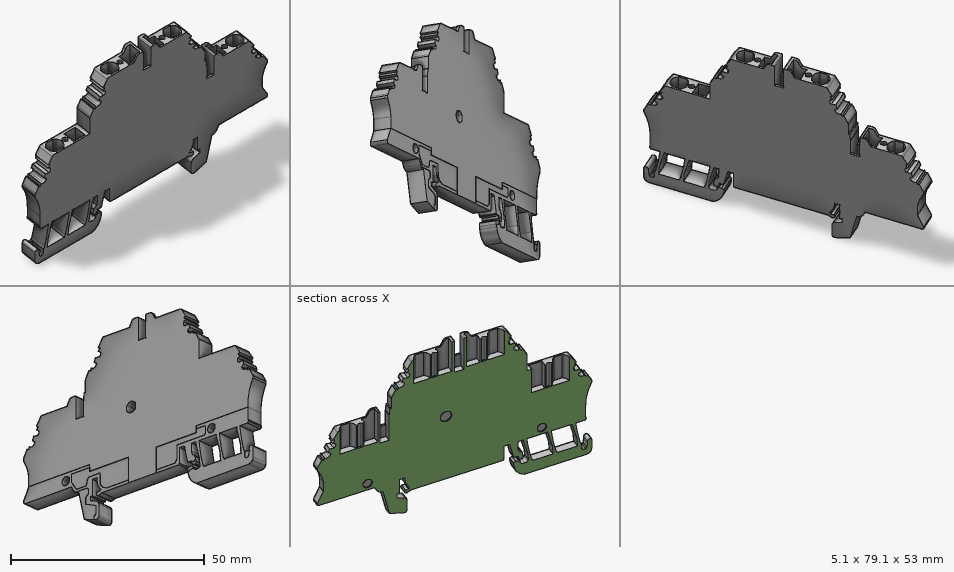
import cadquery as cq

THICKNESS = 5.1
LENGTH = 79.05
HEIGHT = 53.0

BASE_Z = 11.8
RAIL_FACE_Z = 7.0
BLOCK_RIGHT_Y = -14.2
BOSS_HEIGHT = 2.05
BOSS_WIDTH = 3.2
UPPER_TOP_Z = HEIGHT - BOSS_HEIGHT
LOWER_TOP_Z = 35.0
UPPER_LEFT_Y = 18.3
UPPER_RIGHT_Y = -20.9
WAIST_Y = 37.8
WAIST_Z = 19.4
SKIRT_Z = 16.2

EDGE_WIDTH = 6.4
EDGE_DROP = 10.4
SIDE_FLAT = 0.6
LOWER_SHOULDER_Y = LENGTH / 2 - EDGE_WIDTH

SLOT_WIDTH = 2.5
SLOT_DEPTH = 6.65
LEDGE_SLANT = 0.2
LEDGE_SLANT_RISE = 3.55
UPPER_SLOT_Y = -0.1
LOWER_SLOT_Y = 21.4
JUMPER_WIDTH = 3.55
JUMPER_OFFSET = 0.2
JUMPER_DEPTH = 3.95

PORT_INSET = 2.5
PORT_RADIUS = 2.4
PORT_WIDTH = 4.1
TEST_HOLE_INSET = 6.0
TEST_HOLE_RADIUS = 0.8
RELEASE_INSET = 9.1
RELEASE_SIZE = 3.8
RELEASE_OFFSET = 0.15
OPENING_DEPTH = 7.9

MIDDLE_HOLE_Y = 2.45
MIDDLE_HOLE_Z = 28.2
MIDDLE_HOLE_RADIUS = 1.6
BASE_HOLE_YS = (25.0, -25.15)
BASE_HOLE_Z = 14.0
BASE_HOLE_RADIUS = 1.3
SIDE_HOLE_DEPTH = 3.2

FOOT_TOP_Z = 3.95
NOTCH_OUTER_Y = -38.2
LIP_TOP_Z = 5.1
LIP_RADIUS = (LENGTH / 2 + NOTCH_OUTER_Y) / 2
GROOVE_WEB = 0.8
STRUT_PITCH = 7.0
STRUT_COUNT = 3

FRAME_DEPTH = 0.1
POCKET_DEPTH = 0.15
FRAME_STEP_Z = 14.3
FRAME_INNER_LEFT_Y = 3.4
FRAME_INNER_RIGHT_Y = -6.2
FRAME_STEP_LEFT_Y = 16.8
FRAME_STEP_RIGHT_Y = -20.0
POCKET_TOP_Z = 15.4
POCKET_LOWER_Z = 12.8
POCKET_FLOOR_Z = 7.9

STAGES = [
    (UPPER_LEFT_Y - EDGE_WIDTH, UPPER_TOP_Z, 1),
    (UPPER_RIGHT_Y + EDGE_WIDTH, UPPER_TOP_Z, -1),
    (LOWER_SHOULDER_Y, LOWER_TOP_Z, 1),
    (-LOWER_SHOULDER_Y, LOWER_TOP_Z, -1),
]
JUMPER_SLOTS = [(UPPER_SLOT_Y, UPPER_TOP_Z), (LOWER_SLOT_Y, LOWER_TOP_Z)]

MARGIN = 0.8

FACE_X = -THICKNESS / 2


def plate(sketch):
    """Full-thickness solid from a closed YZ outline."""
    return sketch.extrude(THICKNESS / 2, both=True)


def outline(start):
    return cq.Workplane("YZ").moveTo(*start)


def polygon_plate(points):
    return plate(cq.Workplane("YZ").polyline(points).close())


def face_recess(points, depth, start=0):
    """Cutter reaching inwards from a start distance behind the -X face."""
    return cq.Workplane("YZ", origin=(FACE_X + start, 0, 0)).polyline(points).close().extrude(depth)


def label_edge(shoulder_y, top_z, side):
    """Solid to remove outside a sloping edge with its two marker grooves; side is +1 or -1."""

    def at(out, down):
        return (shoulder_y + side * out, top_z - down)

    return plate(
        outline(at(0, 0))
        .threePointArc(at(0.3, 0.12), at(0.55, 0.4))
        .lineTo(*at(1.9, 2.5))
        .lineTo(*at(1.35, 2.85))
        .lineTo(*at(1.9, 3.55))
        .lineTo(*at(1.3, 3.95))
        .threePointArc(at(1.1, 4.7), at(1.65, 5.2))
        .lineTo(*at(2.85, 5.05))
        .lineTo(*at(3.3, 6.2))
        .lineTo(*at(2.5, 6.9))
        .threePointArc(at(2.85, 7.5), at(3.5, 7.8))
        .lineTo(*at(4.2, 7.8))
        .lineTo(*at(4.35, 7.5))
        .lineTo(*at(4.6, 8.3))
        .lineTo(*at(5.1, 8.1))
        .lineTo(*at(EDGE_WIDTH - 0.2, EDGE_DROP - 0.5))
        .lineTo(*at(EDGE_WIDTH, EDGE_DROP))
        .lineTo(*at(EDGE_WIDTH + MARGIN, EDGE_DROP))
        .lineTo(*at(EDGE_WIDTH + MARGIN, -MARGIN))
        .lineTo(*at(0, -MARGIN))
        .close()
    )


def boss(slot_y, top_z, side):
    """Raised stop with a vertical wall at the slot and a slope away from it."""

    def at(out, up):
        return (slot_y + side * out, top_z + up)

    return plate(
        outline(at(0, -MARGIN))
        .lineTo(*at(0, BOSS_HEIGHT - 0.3))
        .threePointArc(at(0.095, BOSS_HEIGHT - 0.095), at(0.3, BOSS_HEIGHT))
        .lineTo(*at(1.6, BOSS_HEIGHT))
        .threePointArc(at(2.05, BOSS_HEIGHT - 0.2), at(2.45, 1.3))
        .lineTo(*at(BOSS_WIDTH, 0))
        .lineTo(*at(BOSS_WIDTH, -MARGIN))
        .close()
    )


def make_housing():
    half = LENGTH / 2
    side_low_z = LOWER_TOP_Z - EDGE_DROP - SIDE_FLAT
    lower = plate(
        outline((half, LOWER_TOP_Z))
        .lineTo(half, side_low_z)
        .threePointArc((38.35, 21.6), (WAIST_Y, WAIST_Z))
        .lineTo(WAIST_Y, SKIRT_Z)
        .threePointArc((38.65, 14.4), (half, 12.7))
        .lineTo(half, BASE_Z + 0.55)
        .threePointArc((39.4, BASE_Z + 0.15), (39.0, BASE_Z))
        .lineTo(-WAIST_Y + 0.2, BASE_Z)
        .lineTo(-WAIST_Y - 0.15, BASE_Z + 0.5)
        .lineTo(-WAIST_Y, BASE_Z + 0.95)
        .lineTo(-WAIST_Y, SKIRT_Z)
        .threePointArc((-38.2, 20.3), (-half, side_low_z))
        .lineTo(-half, LOWER_TOP_Z)
        .close()
    )
    upper = polygon_plate([
        (UPPER_LEFT_Y, LOWER_TOP_Z - MARGIN),
        (UPPER_RIGHT_Y, LOWER_TOP_Z - MARGIN),
        (UPPER_RIGHT_Y, UPPER_TOP_Z),
        (UPPER_LEFT_Y, UPPER_TOP_Z),
    ])
    slot_far_y = LOWER_SLOT_Y - SLOT_WIDTH
    slot_floor_z = LOWER_TOP_Z + BOSS_HEIGHT - SLOT_DEPTH
    ledge = polygon_plate([
        (UPPER_LEFT_Y - MARGIN, slot_floor_z),
        (slot_far_y, slot_floor_z),
        (slot_far_y, slot_floor_z + LEDGE_SLANT_RISE),
        (slot_far_y - LEDGE_SLANT, LOWER_TOP_Z + BOSS_HEIGHT),
        (UPPER_LEFT_Y - MARGIN, LOWER_TOP_Z + BOSS_HEIGHT),
    ])
    body = lower.union(upper)
    for shoulder_y, top_z, side in STAGES:
        body = body.cut(label_edge(shoulder_y, top_z, side))
    body = body.union(boss(UPPER_SLOT_Y, UPPER_TOP_Z, 1))
    body = body.union(boss(UPPER_SLOT_Y - SLOT_WIDTH, UPPER_TOP_Z, -1))
    body = body.union(boss(LOWER_SLOT_Y, LOWER_TOP_Z, 1))
    for slot_y, top_z in JUMPER_SLOTS:
        body = body.cut(jumper_slot(slot_y, top_z))
    return body.union(ledge)


def jumper_slot(slot_y, top_z):
    """Slot open at both faces, with a narrower jumper pocket in its floor."""
    middle_y = slot_y - SLOT_WIDTH / 2
    boss_top_z = top_z + BOSS_HEIGHT
    slot = (
        cq.Workplane("XY", origin=(0, middle_y, boss_top_z))
        .rect(THICKNESS, SLOT_WIDTH)
        .extrude(-SLOT_DEPTH)
    )
    pocket = (
        cq.Workplane("XY", origin=(JUMPER_OFFSET, middle_y, boss_top_z))
        .rect(JUMPER_WIDTH, SLOT_WIDTH)
        .extrude(-SLOT_DEPTH - JUMPER_DEPTH)
    )
    return slot.union(pocket)


def make_rail_block():
    """Lower block resting on the rail, with the lug that grips the rail edge."""
    return plate(
        outline((14.3, BASE_Z))
        .threePointArc((13.9, 9.5), (13.0, 8.1))
        .lineTo(13.3, 7.75)
        .lineTo(14.15, 7.75)
        .threePointArc((14.3, 6.9), (13.7, 6.6))
        .lineTo(12.5, RAIL_FACE_Z)
        .lineTo(BLOCK_RIGHT_Y + 0.3, RAIL_FACE_Z)
        .lineTo(BLOCK_RIGHT_Y, RAIL_FACE_Z + 0.3)
        .lineTo(BLOCK_RIGHT_Y, BASE_Z + MARGIN)
        .lineTo(14.3, BASE_Z + MARGIN)
        .close()
    )


def make_fixed_hook():
    return plate(
        outline((23.1, BASE_Z + MARGIN))
        .lineTo(23.1, BASE_Z)
        .lineTo(22.2, 10.35)
        .threePointArc((21.6, 9.8), (20.6, 9.5))
        .lineTo(18.7, 1.4)
        .lineTo(15.3, 0.2)
        .lineTo(14.5, 0)
        .threePointArc((13.8, 0.2), (13.6, 0.9))
        .lineTo(13.6, 4.2)
        .threePointArc((13.9, 4.8), (14.5, 5.2))
        .lineTo(16.5, 6.0)
        .lineTo(16.5, 7.1)
        .lineTo(15.8, 7.1)
        .lineTo(15.8, BASE_Z + MARGIN)
        .close()
    )


def make_latch():
    """Short flexible finger above the lip of the sliding foot."""
    return plate(
        outline((-15.6, BASE_Z + MARGIN))
        .lineTo(-15.6, BASE_Z)
        .lineTo(-15.9, 11.4)
        .lineTo(-16.9, 7.1)
        .lineTo(-17.15, 6.9)
        .lineTo(-18.3, 6.8)
        .lineTo(-18.3, 6.1)
        .lineTo(-18.8, 5.6)
        .lineTo(-19.6, 5.6)
        .lineTo(-19.85, 6.25)
        .lineTo(-19.5, 7.75)
        .threePointArc((-19.2, 8.15), (-18.6, 8.5))
        .lineTo(-18.35, 9.5)
        .lineTo(-18.35, BASE_Z + MARGIN)
        .close()
    )


def make_foot():
    half = LENGTH / 2
    bar = plate(
        outline((-21.3, FOOT_TOP_Z))
        .lineTo(-21.3, 5.0)
        .threePointArc((-20.95, 4.3), (-20.15, 4.0))
        .threePointArc((-19.3, 4.2), (-18.8, 4.7))
        .lineTo(-18.9, 5.05)
        .lineTo(-18.3, 5.45)
        .lineTo(-17.55, 5.5)
        .lineTo(-16.9, 5.1)
        .lineTo(-16.9, 4.3)
        .lineTo(-17.15, 3.5)
        .threePointArc((-18.1, 1.4), (-20.1, 0))
        .lineTo(-37.95, 0)
        .threePointArc((-39.05, 0.5), (-half, 1.6))
        .lineTo(-half, LIP_TOP_Z - LIP_RADIUS)
        .threePointArc((-half + LIP_RADIUS, LIP_TOP_Z), (NOTCH_OUTER_Y, LIP_TOP_Z - LIP_RADIUS))
        .lineTo(NOTCH_OUTER_Y, FOOT_TOP_Z)
        .close()
    )
    strut = plate(
        outline((-19.7, BASE_Z + MARGIN))
        .lineTo(-19.7, BASE_Z)
        .lineTo(-21.0, 6.65)
        .lineTo(-21.3, FOOT_TOP_Z - 0.4)
        .lineTo(-22.6, FOOT_TOP_Z - 0.4)
        .lineTo(-22.5, FOOT_TOP_Z)
        .lineTo(-22.2, FOOT_TOP_Z + 0.6)
        .threePointArc((-21.4, 8.1), (-20.9, BASE_Z))
        .lineTo(-20.9, BASE_Z + MARGIN)
        .close()
    )
    foot = bar
    for index in range(STRUT_COUNT):
        foot = foot.union(strut.translate((0, -index * STRUT_PITCH, 0)))
    return foot


def terminal_openings(shoulder_y, top_z, side):
    """Clipped-round wire port, test hole and square release opening of one terminal."""
    floor_z = top_z - OPENING_DEPTH

    def opening(inset):
        return cq.Workplane("XY", origin=(0, shoulder_y - side * inset, floor_z))

    depth = OPENING_DEPTH + BOSS_HEIGHT + MARGIN
    port = opening(PORT_INSET).circle(PORT_RADIUS).extrude(depth)
    port = port.intersect(opening(PORT_INSET).rect(PORT_WIDTH, 2 * PORT_RADIUS).extrude(depth))
    test_hole = opening(TEST_HOLE_INSET).circle(TEST_HOLE_RADIUS).extrude(depth)
    release = (
        opening(RELEASE_INSET)
        .center(RELEASE_OFFSET, 0)
        .rect(RELEASE_SIZE, RELEASE_SIZE)
        .extrude(depth)
    )
    return port.union(test_hole).union(release)


def side_hole(y, z, radius):
    return cq.Workplane("YZ", origin=(FACE_X, y, z)).circle(radius).extrude(SIDE_HOLE_DEPTH)


LEFT_FRAME = [
    (LENGTH / 2 + MARGIN, SKIRT_Z),
    (FRAME_STEP_LEFT_Y, SKIRT_Z),
    (FRAME_STEP_LEFT_Y, FRAME_STEP_Z),
    (FRAME_INNER_LEFT_Y, FRAME_STEP_Z),
    (FRAME_INNER_LEFT_Y, -MARGIN),
    (LENGTH / 2 + MARGIN, -MARGIN),
]
RIGHT_FRAME = [
    (-LENGTH / 2 - MARGIN, SKIRT_Z),
    (FRAME_STEP_RIGHT_Y, SKIRT_Z),
    (FRAME_STEP_RIGHT_Y, FRAME_STEP_Z),
    (FRAME_INNER_RIGHT_Y, FRAME_STEP_Z),
    (FRAME_INNER_RIGHT_Y, -MARGIN),
    (-LENGTH / 2 - MARGIN, -MARGIN),
]

LEFT_POCKET = [
    (23.0, POCKET_TOP_Z),
    (FRAME_STEP_LEFT_Y, POCKET_TOP_Z),
    (FRAME_STEP_LEFT_Y, FRAME_STEP_Z),
    (FRAME_INNER_LEFT_Y, FRAME_STEP_Z),
    (FRAME_INNER_LEFT_Y, POCKET_FLOOR_Z),
    (11.0, POCKET_FLOOR_Z),
    (12.2, 8.45),
    (13.1, 9.5),
    (13.2, POCKET_LOWER_Z),
    (17.1, POCKET_LOWER_Z),
    (17.55, 12.3),
    (17.9, 10.9),
    (18.35, 10.6),
    (21.35, 10.6),
    (23.0, 13.05),
]
RIGHT_POCKET = [
    (FRAME_STEP_RIGHT_Y, POCKET_TOP_Z),
    (-22.8, POCKET_TOP_Z),
    (-23.1, POCKET_TOP_Z - 0.3),
    (-23.1, POCKET_LOWER_Z + 0.5),
    (-22.6, POCKET_LOWER_Z),
    (-13.3, POCKET_LOWER_Z),
    (-13.3, 8.8),
    (-12.5, POCKET_FLOOR_Z),
    (FRAME_INNER_RIGHT_Y, POCKET_FLOOR_Z),
    (FRAME_INNER_RIGHT_Y, FRAME_STEP_Z),
    (FRAME_STEP_RIGHT_Y, FRAME_STEP_Z),
]
HOOK_POCKET = [
    (21.35, 9.9),
    (17.7, 9.9),
    (17.2, 9.4),
    (17.2, 8.15),
    (18.2, 7.3),
    (18.2, 5.45),
    (14.6, 4.0),
    (14.6, 1.7),
    (15.3, 1.1),
    (15.3, -MARGIN),
    (21.35, -MARGIN),
]
FOOT_GROOVE = [
    (-36.6, FOOT_TOP_Z),
    (-36.6, 2.5),
    (-37.0, 2.1),
    (-37.6, 2.1),
    (-37.95, 2.5),
    (NOTCH_OUTER_Y, FOOT_TOP_Z),
]

LATCH_TIP = [
    (-17.4, 6.5),
    (-18.35, 6.5),
    (-19.0, 6.3),
    (-19.45, 6.8),
    (-20.15, 6.8),
    (-20.15, 5.5),
    (-17.4, 5.5),
]
FOOT_TIP = [
    (-16.6, 3.95),
    (-17.1, 3.95),
    (-17.7, 4.4),
    (-18.6, 4.6),
    (-19.2, 4.4),
    (-19.2, 5.6),
    (-16.6, 5.6),
]

result = make_housing()
for addition in (make_rail_block(), make_fixed_hook(), make_latch(), make_foot()):
    result = result.union(addition)
for stage in STAGES:
    result = result.cut(terminal_openings(*stage))
result = result.cut(side_hole(MIDDLE_HOLE_Y, MIDDLE_HOLE_Z, MIDDLE_HOLE_RADIUS))
for hole_y in BASE_HOLE_YS:
    result = result.cut(side_hole(hole_y, BASE_HOLE_Z, BASE_HOLE_RADIUS))
for frame in (LEFT_FRAME, RIGHT_FRAME):
    result = result.cut(face_recess(frame, FRAME_DEPTH))
for pocket in (LEFT_POCKET, RIGHT_POCKET, HOOK_POCKET, FOOT_GROOVE, LATCH_TIP, FOOT_TIP):
    result = result.cut(face_recess(pocket, POCKET_DEPTH))

result = result.cut(face_recess(FOOT_GROOVE, THICKNESS - GROOVE_WEB, GROOVE_WEB))